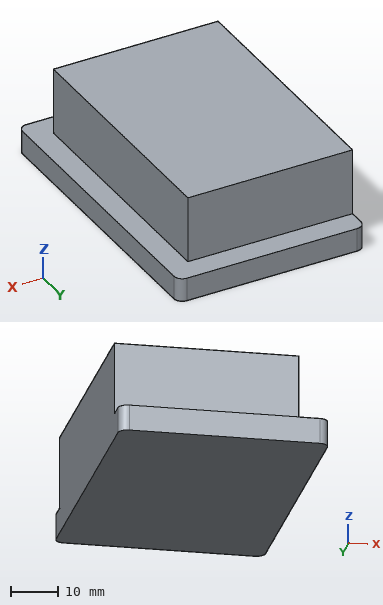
import cadquery as cq

plate_width = 45.0
plate_length = 70.0
plate_thickness = 5.6
corner_radius = 2.0

total_height = 21.4
side_ledge = 5.4
end_ledge = 5.7
block_width = plate_width - side_ledge
block_length = plate_length - 2 * end_ledge


def make_plate():
    """Flat plate with rounded vertical corners."""
    plate = cq.Workplane("XY").box(plate_width, plate_length, plate_thickness, centered=(False, True, False))
    return plate.edges("|Z").fillet(corner_radius)


def make_block():
    """Plain block that runs from the underside of the plate to the full height."""
    return cq.Workplane("XY").box(block_width, block_length, total_height, centered=(False, True, False))


result = make_plate().union(make_block())